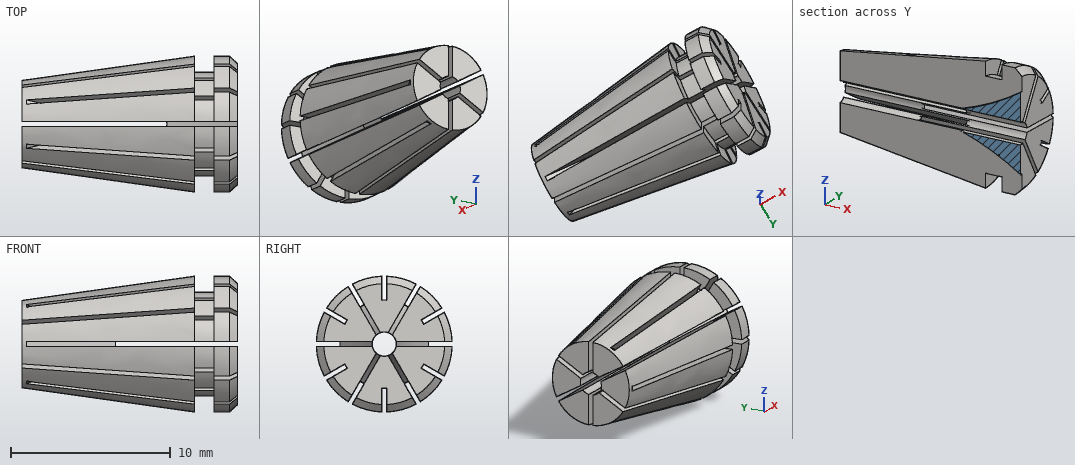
import cadquery as cq
import math

length = 13.5
outer_radius = 4.25
taper_angle = 8.0
cone_length = 10.8
groove_width = 1.2
groove_radius = 3.25
collar_chamfer_length = 0.51
collar_end_radius = 3.78
bore_diameter = 1.5

slots_per_end = 6
slot_width = 0.3
nose_floor_depth = 0.07
floor_end_radius = 2.77
nose_slot_bottom = 8.84
collar_slot_bottom = 5.87
collar_slot_tip = 0.3
nose_saw_radius = 17.55
collar_saw_radius = 21.6
clearance = 0.27

bore_radius = bore_diameter / 2
nose_radius = outer_radius - cone_length * math.tan(math.radians(taper_angle))
collar_start = cone_length + groove_width
chamfer_start = length - collar_chamfer_length
slot_top = outer_radius + clearance


def make_body():
    """Revolved collet: tapered shank, groove, chamfered collar and through bore."""
    return (
        cq.Workplane("XZ")
        .moveTo(0, bore_radius)
        .lineTo(0, nose_radius)
        .lineTo(cone_length, outer_radius)
        .lineTo(cone_length, groove_radius)
        .lineTo(collar_start, groove_radius)
        .lineTo(collar_start, outer_radius)
        .lineTo(chamfer_start, outer_radius)
        .lineTo(length, collar_end_radius)
        .lineTo(length, bore_radius)
        .close()
        .revolve(360, (0, 0, 0), (1, 0, 0))
    )


def floor_midpoint(start, end, radius):
    """Middle of the floor arc, which sags below its chord toward the axis."""
    chord = math.dist(start, end)
    sag = radius - math.sqrt(radius**2 - (chord / 2) ** 2)
    middle_x = (start[0] + end[0]) / 2
    middle_z = (start[1] + end[1]) / 2
    normal_x = abs(end[1] - start[1]) / chord * math.copysign(1, end[0] - start[0])
    normal_z = -abs(end[0] - start[0]) / chord
    return (middle_x + sag * normal_x, middle_z + sag * normal_z)


def make_slot(open_end, start, tip, saw_radius):
    """Slot in the +Z half, open past one end, its floor rising along an arc from start to tip."""
    end = (tip, floor_end_radius)
    return (
        cq.Workplane("XZ")
        .moveTo(open_end, 0)
        .lineTo(start[0], 0)
        .lineTo(*start)
        .threePointArc(floor_midpoint(start, end, saw_radius), end)
        .lineTo(tip, slot_top)
        .lineTo(open_end, slot_top)
        .close()
        .extrude(slot_width / 2, both=True)
    )


def cut_slots(body, slot, first_angle):
    """Cut one evenly spaced set of slots around the X axis."""
    for index in range(slots_per_end):
        angle = first_angle + index * 360 / slots_per_end
        body = body.cut(slot.rotate((0, 0, 0), (1, 0, 0), angle))
    return body


nose_floor_start = (nose_slot_bottom, bore_radius - nose_floor_depth)
nose_slot = make_slot(-clearance, nose_floor_start, length, nose_saw_radius)

collar_floor_start = (collar_slot_bottom, bore_radius)
collar_slot = make_slot(length + clearance, collar_floor_start, collar_slot_tip, collar_saw_radius)

result = make_body()
result = cut_slots(result, nose_slot, 0)
result = cut_slots(result, collar_slot, 180 / slots_per_end)